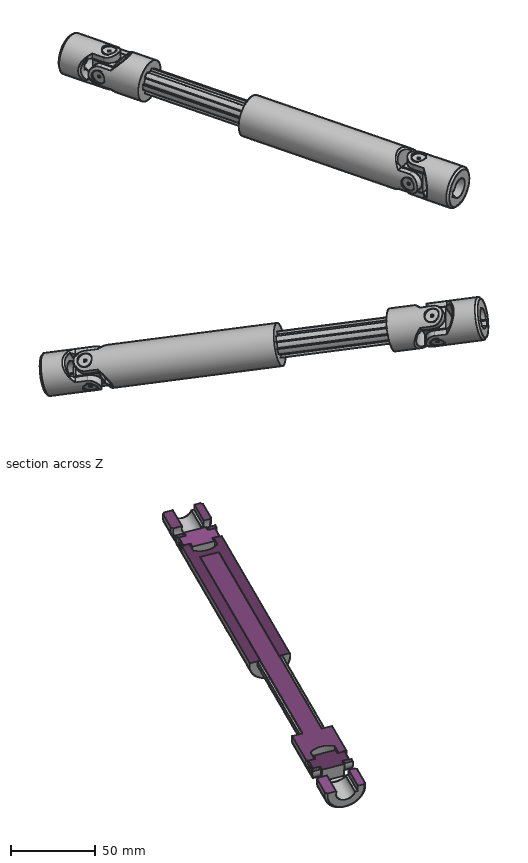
import cadquery as cq

length = 270.0
body_dia = 26.0
body_radius = body_dia / 2

end_hub_length = 28.0
shaft_hub_length = 27.8
ear_half_width = 6.8
shoulder_shift = 0.8
gap_width = 15.0
gap_dia = 25.0

block_size = 14.0
pin_dia = 9.0
pin_span = 23.2
centre_hole_dia = 1.8
centre_hole_depth = 1.4

end_chamfer = 1.4
bore_dia = 12.5
key_width = 4.0
key_reach = 7.5

spline_dia = 16.0
spline_root_dia = 13.0
tooth_count = 6
tooth_width = 3.5
tube_start = 125.3
socket_end = 225.2

left_joint = end_hub_length
right_joint = length - end_hub_length


def round_bar(start, end, diameter):
    """Cylinder on the X axis."""
    return cq.Workplane("YZ", origin=(start, 0, 0)).circle(diameter / 2).extrude(end - start)


def fork(hub_length):
    """Fork at the origin: hub towards -X, two ears at +Z and -Z around a pin along Z."""
    hub = round_bar(-hub_length, ear_half_width, body_dia)
    shoulder_start = -body_radius - shoulder_shift
    shoulder_end = -ear_half_width - shoulder_shift
    outline = (
        cq.Workplane("XY")
        .moveTo(-hub_length, -body_radius)
        .lineTo(shoulder_start, -body_radius)
        .lineTo(shoulder_end, -ear_half_width)
        .lineTo(0, -ear_half_width)
        .threePointArc((ear_half_width, 0), (0, ear_half_width))
        .lineTo(shoulder_end, ear_half_width)
        .lineTo(shoulder_start, body_radius)
        .lineTo(-hub_length, body_radius)
        .close()
        .extrude(body_radius, both=True)
    )
    gap_root = cq.Workplane("XZ").circle(gap_dia / 2).extrude(body_radius, both=True)
    gap = cq.Workplane("XY").box(gap_dia, body_dia, gap_width).intersect(gap_root)
    pin_holes = cq.Workplane("XY").circle(pin_dia / 2).extrude(body_radius, both=True)
    return hub.intersect(outline).cut(gap).cut(pin_holes)


def end_yoke():
    """Fork with a chamfered outer rim and a keyed bore that opens into the gap."""
    bore = round_bar(-end_hub_length, 0, bore_dia)
    keyway = cq.Workplane("XY").box(end_hub_length, key_reach, key_width)
    keyway = keyway.translate((-end_hub_length / 2, -key_reach / 2, 0))
    rimmed_fork = fork(end_hub_length).faces("<X").edges().chamfer(end_chamfer)
    return rimmed_fork.cut(bore).cut(keyway)


def cross():
    """Cube with four pins along Y and Z, each with a small centre hole."""
    body = cq.Workplane("XY").box(block_size, block_size, block_size)
    for plane in ("XY", "XZ"):
        body = body.union(cq.Workplane(plane).circle(pin_dia / 2).extrude(pin_span / 2, both=True))
    for pin_end in (">Z", "<Z", ">Y", "<Y"):
        end_plane = body.faces(pin_end).workplane(centerOption="CenterOfMass")
        body = end_plane.hole(centre_hole_dia, centre_hole_depth)
    return body


def spline(start, end):
    """Straight-sided splined bar on the X axis, with teeth at -Y and +Y."""
    bar = round_bar(start, end, spline_root_dia)
    rim = round_bar(start, end, spline_dia)
    for i in range(tooth_count // 2):
        slab = cq.Workplane("XY").box(end - start, spline_dia, tooth_width)
        slab = slab.translate(((start + end) / 2, 0, 0))
        slab = slab.rotate((0, 0, 0), (1, 0, 0), i * 360 / tooth_count)
        bar = bar.union(slab.intersect(rim))
    return bar


def mirrored(body):
    """Same body with its hub towards +X."""
    return body.mirror("YZ")


def quarter_turned(body):
    """Same body with its ears at +Y and -Y."""
    return body.rotate((0, 0, 0), (1, 0, 0), 90)


left_yoke = end_yoke().translate((left_joint, 0, 0))
right_yoke = mirrored(end_yoke()).translate((right_joint, 0, 0))

crosses = [cross().translate((joint, 0, 0)) for joint in (left_joint, right_joint)]

shaft_fork = quarter_turned(mirrored(fork(shaft_hub_length))).translate((left_joint, 0, 0))
splined_shaft = shaft_fork.union(spline(left_joint + shaft_hub_length, socket_end))

tube_fork = quarter_turned(fork(right_joint - tube_start)).translate((right_joint, 0, 0))
splined_tube = tube_fork.cut(spline(tube_start, socket_end))

result = cq.Compound.makeCompound([
    left_yoke.val(),
    right_yoke.val(),
    *[joint_cross.val() for joint_cross in crosses],
    splined_shaft.val(),
    splined_tube.val(),
])